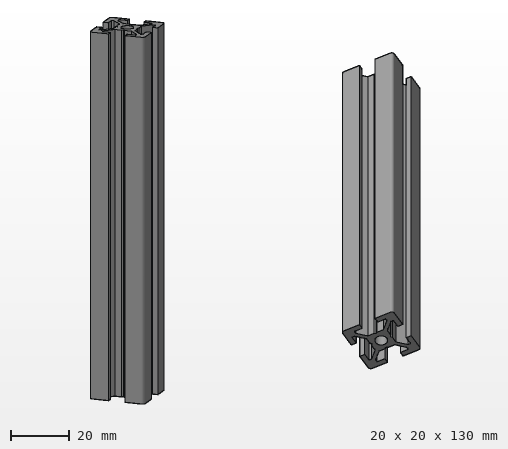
import cadquery as cq
import math

side = 20.0
length = 130.0
corner_radius = 1.0
bore_diameter = 4.3

mouth_width = 6.0
pocket_width = 12.1
lip_thickness = 2.0
core_width = 8.0
web_thickness = 1.4

groove_width = 1.2
groove_depth = 0.4

slot_count = 4
half_side = side / 2
half_core = core_width / 2
lip_inner = half_side - lip_thickness
web_offset = web_thickness / math.sqrt(2)


def make_slot():
    """Slot cutter for the +Y side, including its floor groove."""
    right_half = [
        (groove_width / 2, half_core),
        (half_core - web_offset, half_core),
        (pocket_width / 2, pocket_width / 2 + web_offset),
        (pocket_width / 2, lip_inner),
        (mouth_width / 2, lip_inner),
        (mouth_width / 2, half_side),
    ]
    left_half = [(-x, y) for x, y in reversed(right_half)]
    groove_bottom = (0, half_core - groove_depth)
    outline = [groove_bottom] + right_half + left_half
    return cq.Workplane("XY").polyline(outline).close().extrude(length)


result = cq.Workplane("XY").rect(side, side).extrude(length)
result = result.edges("|Z").fillet(corner_radius)

slot = make_slot()
for index in range(slot_count):
    angle = index * 360 / slot_count
    result = result.cut(slot.rotate((0, 0, 0), (0, 0, 1), angle))

bore = cq.Workplane("XY").circle(bore_diameter / 2).extrude(length)
result = result.cut(bore)